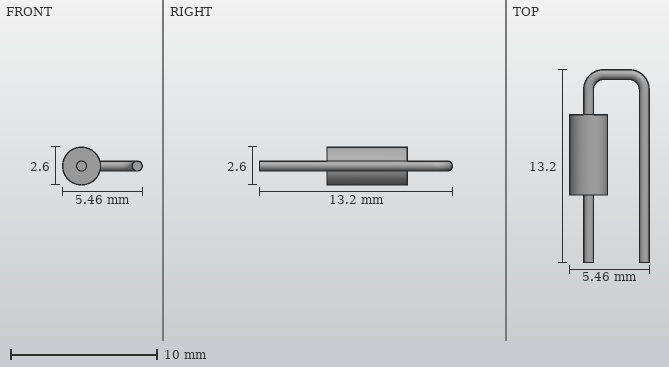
import cadquery as cq

total_length = 13.19
wire_diameter = 0.69
leg_pitch = 3.81
bend_radius = 1.03

body_diameter = 2.6
body_length = 5.5
body_start = 4.6

crossbar_y = total_length - wire_diameter / 2
straight_leg_length = crossbar_y - bend_radius


def make_wire():
    """Sweep the wire up the first leg, across the crossbar and back down."""
    centreline = (
        cq.Workplane("XY")
        .lineTo(0, straight_leg_length)
        .tangentArcPoint((bend_radius, crossbar_y), relative=False)
        .lineTo(leg_pitch - bend_radius, crossbar_y)
        .tangentArcPoint((leg_pitch, straight_leg_length), relative=False)
        .lineTo(leg_pitch, 0)
    )
    return cq.Workplane("XZ").circle(wire_diameter / 2).sweep(centreline)


def make_body():
    """Plain cylinder around the first leg."""
    return (
        cq.Workplane("XZ", origin=(0, body_start, 0))
        .circle(body_diameter / 2)
        .extrude(-body_length)
    )


result = make_body().union(make_wire())